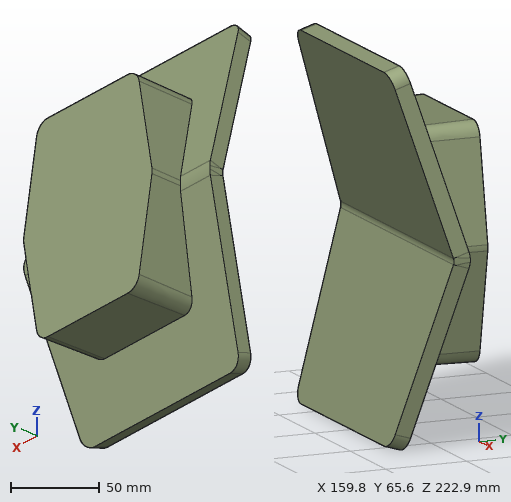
import cadquery as cq
import math

plate_thickness = 10.0
bend_inner_radius = 6.0
arm_tilt = 17.5
overall_height = 222.9
overall_depth = 65.61
fold_width = 159.93
arm_root_width = 159.15
arm_end_width = 134.0
arm_corner_radius = 10.0
fold_side_radius = 15.0

block_height = 140.6
block_middle_width = 110.8
block_end_width = 85.2
block_corner_radius = 10.0
block_draft = 1.3

sin_tilt = math.sin(math.radians(arm_tilt))
cos_tilt = math.cos(math.radians(arm_tilt))
bend_outer_radius = bend_inner_radius + plate_thickness
arm_length = (overall_height / 2 - bend_outer_radius * sin_tilt) / cos_tilt
bend_center_y = arm_length * sin_tilt - bend_inner_radius * cos_tilt - overall_depth


def bend_point(radius, side):
    """(Y, Z) where the bend circle of this radius runs into the upper (+1) or lower (-1) arm."""
    return (bend_center_y + radius * cos_tilt, side * radius * sin_tilt)


def make_arm(side):
    """Trapezoidal plate with two rounded outer corners, tangent to the bend."""
    start_y, start_z = bend_point(bend_inner_radius, side)
    front_face = cq.Plane(
        origin=(0, start_y, start_z),
        xDir=(1, 0, 0),
        normal=(0, cos_tilt, side * sin_tilt),
    )
    end = -side * arm_length
    outline = [
        (-arm_root_width / 2, 0),
        (arm_root_width / 2, 0),
        (arm_end_width / 2, end),
        (-arm_end_width / 2, end),
    ]
    arm = cq.Workplane(front_face).polyline(outline).close().extrude(plate_thickness)
    outer_end = ">Z" if side > 0 else "<Z"
    end_corners = arm.edges(cq.selectors.ParallelDirSelector(front_face.zDir)).edges(outer_end)
    return end_corners.fillet(arm_corner_radius)


def make_bend_side_taper(side):
    """Ruled wedge between the middle of the bend and one arm, giving the bend its width."""
    wedge_radii = (bend_inner_radius / 2, 2 * bend_outer_radius)

    def section(cos_angle, sin_angle, width):
        inner, outer = [
            (bend_center_y + radius * cos_angle, side * radius * sin_angle) for radius in wedge_radii
        ]
        half = width / 2
        corners = [(-half, *inner), (half, *inner), (half, *outer), (-half, *outer)]
        return cq.Wire.makePolygon([cq.Vector(*corner) for corner in corners], close=True)

    middle = section(1, 0, fold_width)
    arm_root = section(cos_tilt, sin_tilt, arm_root_width)
    return cq.Workplane(cq.Solid.makeLoft([middle, arm_root], True))


def make_bend():
    """Constant-thickness sector joining the arms, with a blunt rounded point on each side."""
    sector = (
        cq.Workplane("YZ")
        .moveTo(*bend_point(bend_inner_radius, -1))
        .threePointArc((bend_center_y + bend_inner_radius, 0), bend_point(bend_inner_radius, 1))
        .lineTo(*bend_point(bend_outer_radius, 1))
        .threePointArc((bend_center_y + bend_outer_radius, 0), bend_point(bend_outer_radius, -1))
        .close()
        .extrude(fold_width, both=True)
    )
    side_taper = make_bend_side_taper(1).union(make_bend_side_taper(-1))
    return sector.intersect(side_taper).edges("|Y").fillet(fold_side_radius)


def make_space_behind_plate():
    """Everything between the back of the plate and the plane Y = 0."""

    def arm_back_end(side):
        y, z = bend_point(bend_outer_radius, side)
        return (y - arm_length * sin_tilt, z + side * arm_length * cos_tilt)

    return (
        cq.Workplane("YZ")
        .moveTo(0, -overall_height / 2)
        .lineTo(*arm_back_end(-1))
        .lineTo(*bend_point(bend_outer_radius, -1))
        .threePointArc((bend_center_y + bend_outer_radius, 0), bend_point(bend_outer_radius, 1))
        .lineTo(*arm_back_end(1))
        .lineTo(0, overall_height / 2)
        .close()
        .extrude(fold_width / 2, both=True)
    )


def make_block():
    """Rounded hexagonal block, narrowing toward the plate and trimmed to its back."""
    half_height = block_height / 2
    outline = [
        (block_middle_width / 2, 0),
        (block_end_width / 2, half_height),
        (-block_end_width / 2, half_height),
        (-block_middle_width / 2, 0),
        (-block_end_width / 2, -half_height),
        (block_end_width / 2, -half_height),
    ]
    profile = cq.Sketch().polygon(outline + outline[:1]).vertices().fillet(block_corner_radius)
    block = cq.Workplane("XZ").placeSketch(profile).extrude(overall_depth, taper=block_draft)
    return block.intersect(make_space_behind_plate())


plate = make_bend().union(make_arm(1)).union(make_arm(-1))
result = plate.union(make_block())